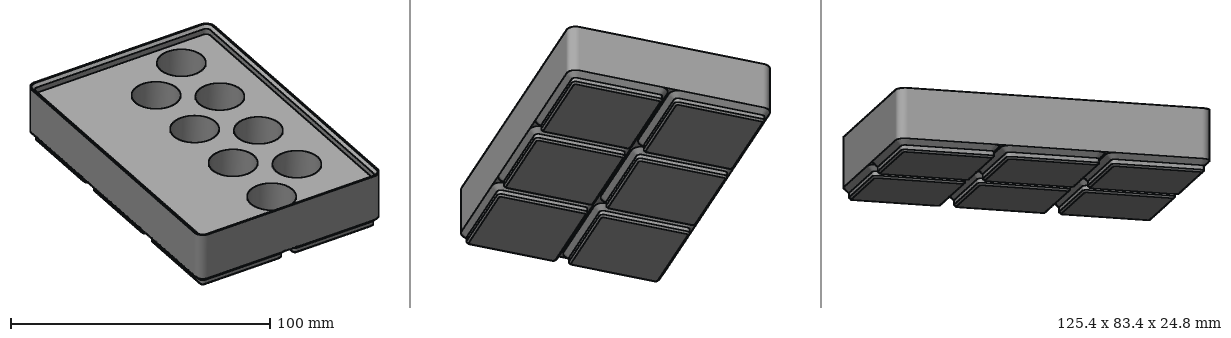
import cadquery as cq

foot_pitch = 42.0
foot_gap = 0.6
feet_x = 3
feet_y = 2

length = feet_x * foot_pitch - foot_gap
width = feet_y * foot_pitch - foot_gap
height = 24.8
corner_radius = 3.8

foot_size = foot_pitch - foot_gap
foot_lower_chamfer = 0.8
foot_straight = 1.8
foot_upper_chamfer = 2.1
foot_step = foot_lower_chamfer + foot_straight
body_base = foot_step + foot_upper_chamfer

deck_depth = 3.8
deck_level = height - deck_depth
rim_width = 0.6
lip_chamfer = 1.3
lip_thickness = rim_width + lip_chamfer

socket_diameter = 19.0
socket_depth = 15.0
socket_pitch = 27.9
sockets_per_row = 4
row_stagger = socket_pitch / 2
row_spacing = 20.3
front_row_y = -0.1
back_row_y = front_row_y + row_spacing

overlap = 1.3


def rounded_block(inset, size_x, size_y, bottom, top, bottom_chamfer=0):
    """Centred block, inset on all sides with concentric corners and an optional bottom chamfer."""
    block = (
        cq.Workplane("XY")
        .workplane(offset=bottom)
        .rect(size_x - 2 * inset, size_y - 2 * inset)
        .extrude(top - bottom)
        .edges("|Z")
        .fillet(corner_radius - inset)
    )
    if bottom_chamfer:
        block = block.faces("<Z").edges().chamfer(bottom_chamfer)
    return block


def make_foot():
    """One foot, reaching into the body so that the two fuse."""
    lower = rounded_block(foot_upper_chamfer, foot_size, foot_size, 0, body_base, foot_lower_chamfer)
    upper = rounded_block(0, foot_size, foot_size, foot_step, body_base + overlap, foot_upper_chamfer)
    return lower.union(upper)


def make_deck_pocket():
    """Space inside the lip: straight at the deck, flared towards the rim."""
    straight = rounded_block(lip_thickness, length, width, deck_level, height)
    flare = rounded_block(rim_width, length, width, height - lip_chamfer, height + overlap, lip_chamfer)
    return straight.union(flare)


def make_socket_row(center_x, center_y):
    """Row of cylinders that cut the blind sockets."""
    return (
        cq.Workplane("XY")
        .workplane(offset=deck_level - socket_depth)
        .center(center_x, center_y)
        .rarray(socket_pitch, 1.3, sockets_per_row, 1)
        .circle(socket_diameter / 2)
        .extrude(socket_depth + overlap)
    )


result = rounded_block(0, length, width, body_base, height)
foot = make_foot()
for column in range(feet_x):
    for row in range(feet_y):
        foot_x = (column - (feet_x - 1) / 2) * foot_pitch
        foot_y = (row - (feet_y - 1) / 2) * foot_pitch
        result = result.union(foot.translate((foot_x, foot_y, 0)))

result = result.cut(make_deck_pocket())
result = result.cut(make_socket_row(-row_stagger / 2, back_row_y))
result = result.cut(make_socket_row(row_stagger / 2, front_row_y))